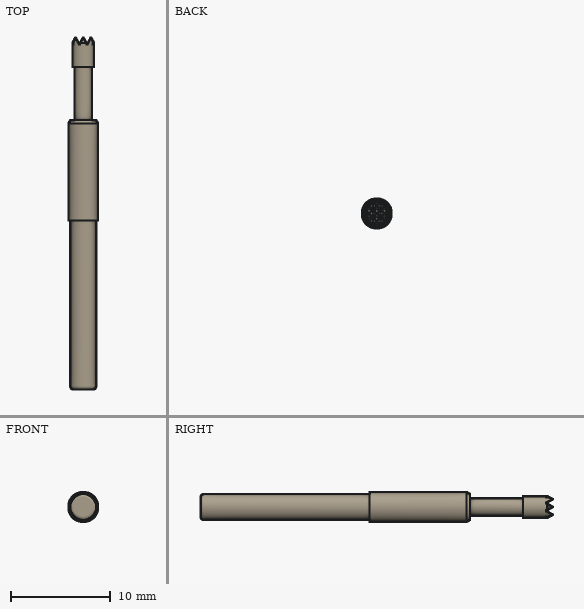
import cadquery as cq

length = 35.3
barrel_diameter = 2.6
collar_diameter = 3.0
stem_diameter = 1.75
head_diameter = 2.2

collar_start = 16.95
collar_end = 27.0
head_start = 32.3

collar_chamfer_length = 0.35
collar_chamfer_depth = 0.2
tail_fillet = 0.35

teeth_per_row = 3
tooth_pitch = 0.78
groove_depth = 0.7


def make_turned_body():
    """Revolve the stepped half profile, radius along X and length along Y."""
    barrel_radius = barrel_diameter / 2
    collar_radius = collar_diameter / 2
    stem_radius = stem_diameter / 2
    head_radius = head_diameter / 2

    profile = (
        cq.Workplane("XY")
        .lineTo(barrel_radius - tail_fillet, 0)
        .radiusArc((barrel_radius, tail_fillet), -tail_fillet)
        .lineTo(barrel_radius, collar_start)
        .lineTo(collar_radius, collar_start)
        .lineTo(collar_radius, collar_end - collar_chamfer_length)
        .lineTo(collar_radius - collar_chamfer_depth, collar_end)
        .lineTo(stem_radius, collar_end)
        .lineTo(stem_radius, head_start)
        .lineTo(head_radius, head_start)
        .lineTo(head_radius, length)
        .lineTo(0, length)
        .close()
    )
    return profile.revolve(360, (0, 0, 0), (0, 1, 0))


def make_groove(offset):
    """V groove running along Z, its root at X = offset."""
    return (
        cq.Workplane("XY")
        .moveTo(offset - tooth_pitch / 2, length)
        .lineTo(offset, length - groove_depth)
        .lineTo(offset + tooth_pitch / 2, length)
        .close()
        .extrude(head_diameter, both=True)
    )


def cut_crown(body):
    """Cut both crossing rows of grooves; the outermost ones bevel the rim."""
    for index in range(teeth_per_row + 1):
        groove = make_groove((index - teeth_per_row / 2) * tooth_pitch)
        crossing_groove = groove.rotate((0, 0, 0), (0, 1, 0), 90)
        body = body.cut(groove).cut(crossing_groove)
    return body


result = cut_crown(make_turned_body())